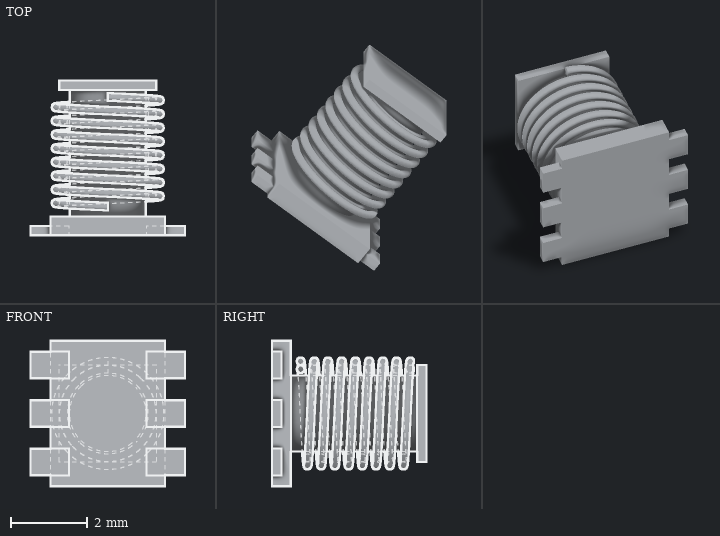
import cadquery as cq

TOTAL_LENGTH = 4.06
TOTAL_WIDTH = 4.06
BASE_HEIGHT = 3.82

BASE_WIDTH = 3.0
BASE_THICKNESS = 0.5
FLANGE_SIDE = 2.55
FLANGE_THICKNESS = 0.25
CORE_DIAMETER = 2.0

TERMINAL_LENGTH = 1.02
TERMINAL_HEIGHT = 0.7
TERMINAL_THICKNESS = 0.25
TERMINAL_PITCH = 1.27
ROW_POSITIONS = (-TERMINAL_PITCH, 0, TERMINAL_PITCH)

WIRE_DIAMETER = 0.205
INNER_WINDING_RADIUS = 1.16
LAYER_SPACING = 0.207
OUTER_WINDING_RADIUS = INNER_WINDING_RADIUS + LAYER_SPACING
WINDING_LENGTH = 2.875
WINDING_TURNS = 8
WINDING_PITCH = WINDING_LENGTH / WINDING_TURNS
WINDING_END_GAP = 0.43

BASE_FACE_Y = -TOTAL_LENGTH / 2
FLANGE_FACE_Y = TOTAL_LENGTH / 2
WINDING_START_Y = FLANGE_FACE_Y - WINDING_END_GAP - WINDING_LENGTH


def block(width, thickness, height, start_y):
    """Box centred on the Y axis in X and Z, growing from start_y toward +Y."""
    return cq.Workplane("XY").box(width, thickness, height).translate((0, start_y + thickness / 2, 0))


def make_terminal(side, row_z):
    """One flat terminal; side is -1 or +1 along X."""
    centre_x = side * (TOTAL_WIDTH - TERMINAL_LENGTH) / 2
    terminal = block(TERMINAL_LENGTH, TERMINAL_THICKNESS, TERMINAL_HEIGHT, BASE_FACE_Y)
    return terminal.translate((centre_x, 0, row_z))


def make_bobbin(terminals):
    """Base, round core and square flange in one piece, with recesses for the terminals."""
    base = block(BASE_WIDTH, BASE_THICKNESS, BASE_HEIGHT, BASE_FACE_Y)
    flange = block(FLANGE_SIDE, FLANGE_THICKNESS, FLANGE_SIDE, FLANGE_FACE_Y - FLANGE_THICKNESS)
    core_length = FLANGE_FACE_Y - BASE_FACE_Y
    core = cq.Workplane("XZ", origin=(0, FLANGE_FACE_Y, 0)).circle(CORE_DIAMETER / 2).extrude(core_length)
    bobbin = base.union(core).union(flange)
    for terminal in terminals:
        bobbin = bobbin.cut(terminal)
    return bobbin


def make_winding(radius):
    """Round wire wound about Y, with both ends at the top of the core."""
    path = cq.Wire.makeHelix(WINDING_PITCH, WINDING_LENGTH, radius, lefthand=True)
    wire_section = cq.Workplane("XZ").center(radius, 0).circle(WIRE_DIAMETER / 2)
    winding = wire_section.sweep(cq.Workplane(path), isFrenet=True)
    winding = winding.rotate((0, 0, 0), (1, 0, 0), -90)
    winding = winding.rotate((0, 0, 0), (0, 1, 0), -90)
    return winding.translate((0, WINDING_START_Y, 0))


terminals = [make_terminal(side, row_z) for side in (-1, 1) for row_z in ROW_POSITIONS]
bobbin = make_bobbin(terminals)
inner_winding = make_winding(INNER_WINDING_RADIUS)
outer_winding = make_winding(OUTER_WINDING_RADIUS)

result = cq.Compound.makeCompound(
    [bobbin.val(), inner_winding.val(), outer_winding.val()] + [terminal.val() for terminal in terminals]
)